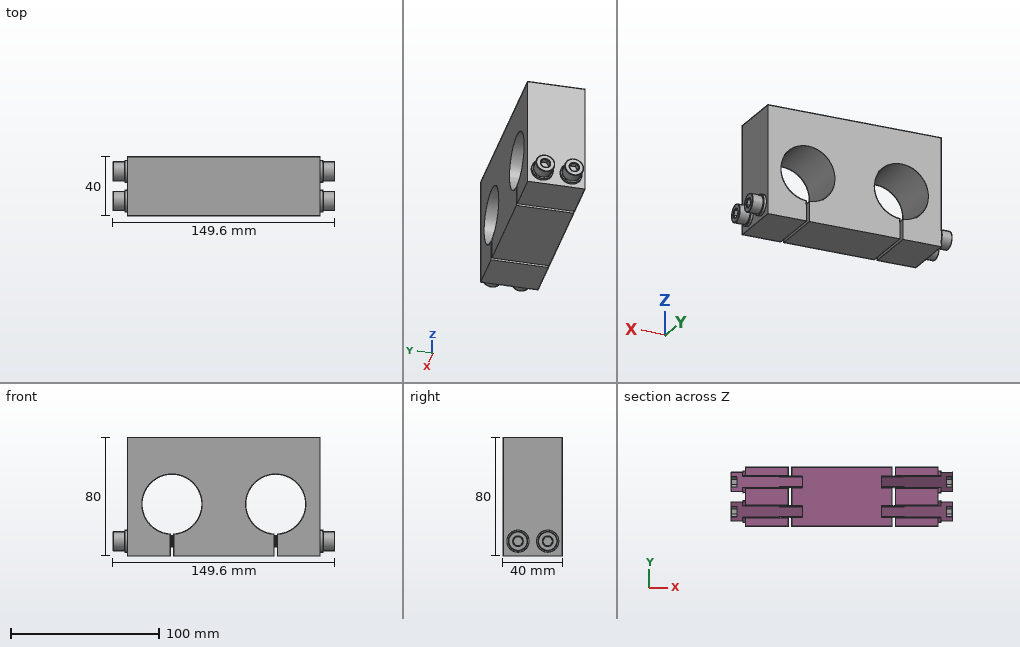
import cadquery as cq
import math

BLOCK_LENGTH = 130.0
BLOCK_WIDTH = 40.0
BLOCK_HEIGHT = 80.0
BORE_DIAMETER = 40.4
BORE_SPACING = 70.0
BORE_HEIGHT = 35.0
SLOT_WIDTH = 2.2

OVERALL_LENGTH = 149.6
SCREW_SPACING = 20.0
SCREW_HEIGHT = 10.0
SCREW_LENGTH = 40.0
SCREW_DIAMETER = 8.0
HEAD_DIAMETER = 13.0
HEAD_CHAMFER = 0.3
CLEARANCE_DIAMETER = 8.4

SOCKET_FLATS = 6.0
SOCKET_DEPTH = 4.0
LEAD_IN_DIAMETER = 7.2
LEAD_IN_DEPTH = 0.5

THREAD_PITCH = 1.0
THREAD_ROOT_DIAMETER = 6.7
THREAD_TURNS = 14
RIDGE_BASE = THREAD_PITCH * 3 / 4
RIDGE_CREST = THREAD_PITCH / 8
RIDGE_SINK = 0.05

WASHER_DIAMETER = 15.0
WASHER_BORE = 8.1
WASHER_THICKNESS = 1.8

BLOCK_END_X = -BLOCK_LENGTH / 2
HEAD_TOP_X = -OVERALL_LENGTH / 2
SEAT_X = BLOCK_END_X - WASHER_THICKNESS
SLOT_INNER_X = -(BORE_SPACING - SLOT_WIDTH) / 2
SCREW_TIP_X = SEAT_X + SCREW_LENGTH
THREAD_START_X = SCREW_TIP_X - (THREAD_TURNS + 1) * THREAD_PITCH


def rod_along_x(diameter, start, end):
    """Cylinder on the X axis between two X positions."""
    return cq.Workplane("YZ", origin=(start, 0, 0)).circle(diameter / 2).extrude(end - start)


def at_every_screw(body):
    """Copies of a left-end body on the X axis at all four screw axes, the right end by a half turn about Z."""
    copies = []
    for y in (-SCREW_SPACING / 2, SCREW_SPACING / 2):
        moved = body.translate((0, y, SCREW_HEIGHT))
        for turn in (0, 180):
            copies.append(moved.rotate((0, 0, 0), (0, 0, 1), turn))
    return copies


def make_block():
    block = cq.Workplane("XY").box(BLOCK_LENGTH, BLOCK_WIDTH, BLOCK_HEIGHT, centered=(True, True, False))

    for x in (-BORE_SPACING / 2, BORE_SPACING / 2):
        bore = (
            cq.Workplane("XZ", origin=(x, 0, BORE_HEIGHT))
            .circle(BORE_DIAMETER / 2)
            .extrude(BLOCK_WIDTH / 2, both=True)
        )
        slot = (
            cq.Workplane("XY", origin=(x, 0, 0))
            .box(SLOT_WIDTH, BLOCK_WIDTH, BORE_HEIGHT, centered=(True, True, False))
        )
        block = block.cut(bore).cut(slot)

    clearance_hole = rod_along_x(CLEARANCE_DIAMETER, BLOCK_END_X, SLOT_INNER_X)
    threaded_hole = rod_along_x(SCREW_DIAMETER, SLOT_INNER_X, SCREW_TIP_X)
    for hole in at_every_screw(clearance_hole.union(threaded_hole)):
        block = block.cut(hole)
    return block


def make_thread_ridge():
    """Helical ridge on the root of a screw along the X axis, sunk slightly into the core."""
    root_radius = THREAD_ROOT_DIAMETER / 2
    crest_radius = SCREW_DIAMETER / 2
    flank_slope = (RIDGE_BASE - RIDGE_CREST) / 2 / (crest_radius - root_radius)
    sunk_base = RIDGE_BASE + 2 * flank_slope * RIDGE_SINK
    helix = cq.Wire.makeHelix(THREAD_PITCH, THREAD_TURNS * THREAD_PITCH, root_radius)
    ridge = (
        cq.Workplane("XZ")
        .polyline([
            (root_radius - RIDGE_SINK, -sunk_base / 2),
            (crest_radius, -RIDGE_CREST / 2),
            (crest_radius, RIDGE_CREST / 2),
            (root_radius - RIDGE_SINK, sunk_base / 2),
        ])
        .close()
        .sweep(cq.Workplane(helix), isFrenet=True)
    )
    along_x = ridge.rotate((0, 0, 0), (0, 1, 0), 90)
    return along_x.translate((THREAD_START_X + THREAD_PITCH / 2, 0, 0))


def make_socket():
    """Hexagon socket with level flats at top and bottom, and its conical lead-in."""
    corner_diameter = SOCKET_FLATS / math.cos(math.pi / 6)
    hexagon = cq.Workplane("YZ", origin=(HEAD_TOP_X, 0, 0)).polygon(6, corner_diameter).extrude(SOCKET_DEPTH)
    lead_in = (
        cq.Workplane("YZ", origin=(HEAD_TOP_X, 0, 0))
        .circle(LEAD_IN_DIAMETER / 2)
        .workplane(offset=LEAD_IN_DEPTH)
        .circle(SOCKET_FLATS / 2)
        .loft()
    )
    return hexagon.union(lead_in)


def make_screw():
    head = rod_along_x(HEAD_DIAMETER, HEAD_TOP_X, SEAT_X).edges("%CIRCLE").chamfer(HEAD_CHAMFER)
    shank = rod_along_x(SCREW_DIAMETER, SEAT_X, THREAD_START_X)
    core = rod_along_x(THREAD_ROOT_DIAMETER, THREAD_START_X, SCREW_TIP_X)
    thread = core.union(make_thread_ridge())
    return head.cut(make_socket()).union(shank).union(thread)


def make_washer():
    ring = rod_along_x(WASHER_DIAMETER, SEAT_X, BLOCK_END_X)
    return ring.cut(rod_along_x(WASHER_BORE, SEAT_X, BLOCK_END_X))


block = make_block()
screws = at_every_screw(make_screw())
washers = at_every_screw(make_washer())

result = cq.Compound.makeCompound([
    block.solids().val(),
    *[screw.solids().val() for screw in screws],
    *[washer.solids().val() for washer in washers],
])